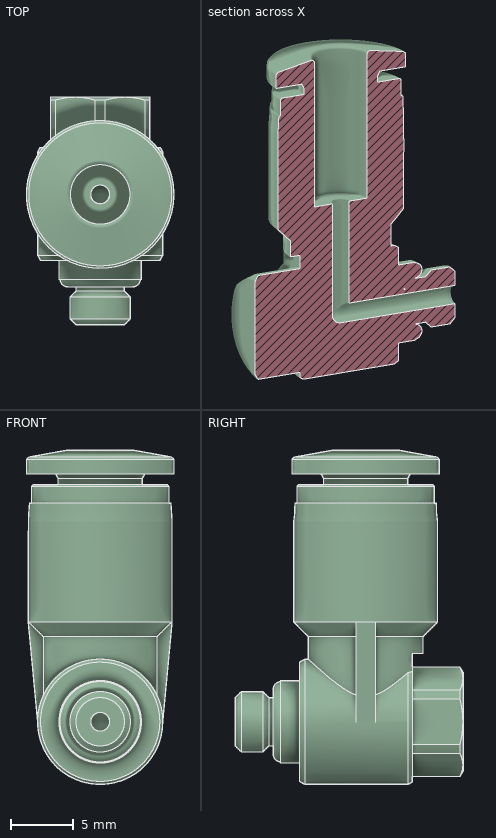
import cadquery as cq
import math


body_radius = 10.0 / 2
body_back = 3.75
body_front = -5.29
back_chamfer = (0.35, 0.2)
front_chamfer = (0.43, 0.25)

collar_radius = 6.6 / 2
collar_front = -6.8
neck_radius = 3.87 / 2
seal_section_radius = 0.65
seal_front = -7.4
tip_radius = 4.83 / 2
tip_back = -7.72
tip_front = -10.4
tip_chamfer = (0.48, tip_radius - neck_radius)

hex_flats = 7.95
hex_corner_diameter = 8.75
hex_length = 4.05
hex_chamfer = (0.27, 0.45)

overall_height = 26.7
tower_top = overall_height - body_radius
stem_radius = 4.6
stem_relief_top = 5.45
sleeve_radius = 11.5 / 2
sleeve_bottom = 7.95
sleeve_bevel = sleeve_radius - stem_radius
sleeve_shoulder = 16.0
sleeve_top = 17.45
sleeve_top_radius = 5.65
ring_radius = 11.0 / 2
ring_top = 18.93
ring_chamfer = 0.13
button_neck_radius = 6.75 / 2
button_radius = 11.8 / 2
button_bottom = 19.78
button_flare_height = 0.35
button_flare = 0.2
button_edge = 20.95
button_edge_chamfer = 0.2

tube_radius = 4.75 / 2
tube_floor = 9.35
tube_mouth_round = 0.3
flow_radius = 1.5 / 2

rib_width = 1.55


def revolve_about_y(points):
    """Revolve a closed (radius, y) outline about the Y axis."""
    return cq.Workplane("XY").polyline(points).close().revolve(360, (0, 0), (0, 1))


def chamfered_cylinder(radius, back, front, at_back, at_front):
    """Cylinder along Y with an (axial, radial) chamfer at each end."""
    return revolve_about_y([
        (0, back),
        (radius - at_back[1], back),
        (radius, back - at_back[0]),
        (radius, front + at_front[0]),
        (radius - at_front[1], front),
        (0, front),
    ])


def cylinder_along_y(radius, back, front):
    return cq.Workplane("XZ", origin=(0, back, 0)).circle(radius).extrude(back - front)


def make_seal_ring():
    """Round seal ring hugging the neck, partly sunk into the collar."""
    return (
        cq.Workplane("XY")
        .center(neck_radius + seal_section_radius, seal_front + seal_section_radius)
        .circle(seal_section_radius)
        .revolve(360, (-neck_radius - seal_section_radius, 0), (-neck_radius - seal_section_radius, 1))
    )


def make_banjo():
    body = chamfered_cylinder(body_radius, body_back, body_front, back_chamfer, front_chamfer)
    collar = cylinder_along_y(collar_radius, 0, collar_front)
    seal = make_seal_ring()
    neck = cylinder_along_y(neck_radius, 0, tip_front)
    tip = chamfered_cylinder(tip_radius, tip_back, tip_front, tip_chamfer, tip_chamfer)
    return body.union(collar).union(seal).union(neck).union(tip)


def make_hex_head():
    """Hexagon with flats on the X sides, its corners turned down and its end chamfered."""
    back = body_back + hex_length
    across_corners = hex_flats / math.cos(math.pi / 6)
    prism = (
        cq.Workplane("XZ", origin=(0, back, 0))
        .transformed(rotate=(0, 0, 30))
        .polygon(6, across_corners)
        .extrude(hex_length)
    )
    radius = hex_corner_diameter / 2
    turned = revolve_about_y([
        (0, back),
        (radius - hex_chamfer[1], back),
        (radius, back - hex_chamfer[0]),
        (radius, body_back),
        (0, body_back),
    ])
    return prism.intersect(turned)


def make_stem():
    """Stem whose back is cut flush with the body below the relief height."""
    stem = cq.Workplane("XY").circle(stem_radius).extrude(sleeve_bottom)
    relief = (
        cq.Workplane("XY")
        .box(2 * stem_radius, stem_radius, stem_relief_top, centered=(True, False, False))
        .translate((0, body_back, 0))
    )
    return stem.cut(relief)


def make_sleeve_and_button():
    outline = [
        (0, sleeve_bottom - sleeve_bevel),
        (stem_radius, sleeve_bottom - sleeve_bevel),
        (sleeve_radius, sleeve_bottom),
        (sleeve_radius, sleeve_shoulder),
        (sleeve_top_radius, sleeve_top),
        (ring_radius, sleeve_top),
        (ring_radius, ring_top - ring_chamfer),
        (ring_radius - ring_chamfer, ring_top),
        (button_neck_radius, ring_top),
        (button_neck_radius, button_bottom - button_flare_height),
        (button_neck_radius + button_flare, button_bottom),
        (button_radius, button_bottom),
        (button_radius, button_edge),
        (button_radius - button_edge_chamfer, button_edge + button_edge_chamfer),
        (tube_radius + tube_mouth_round, tower_top),
        (0, tower_top),
    ]
    return cq.Workplane("XZ").polyline(outline).close().revolve(360, (0, 0), (0, 1))


def make_ribs():
    """Pair of side ribs tapering from the sleeve down to the body's widest point."""
    outline = [
        (-body_radius, 0),
        (body_radius, 0),
        (sleeve_radius, sleeve_bottom),
        (-sleeve_radius, sleeve_bottom),
    ]
    return cq.Workplane("XZ").polyline(outline).close().extrude(rib_width / 2, both=True)


def make_tube_socket():
    """Blind tube bore with a rounded mouth."""
    mouth_radius = tube_radius + tube_mouth_round
    round_bottom = tower_top - tube_mouth_round
    mid_offset = tube_mouth_round * (1 - math.sqrt(0.5))
    return (
        cq.Workplane("XZ")
        .moveTo(0, tube_floor)
        .lineTo(tube_radius, tube_floor)
        .lineTo(tube_radius, round_bottom)
        .threePointArc((tube_radius + mid_offset, tower_top - mid_offset), (mouth_radius, tower_top))
        .lineTo(0, tower_top)
        .close()
        .revolve(360, (0, 0), (0, 1))
    )


def make_flow_passage():
    """Vertical and horizontal bores that meet in a rounded elbow at the origin."""
    vertical = cq.Workplane("XY").circle(flow_radius).extrude(tube_floor)
    horizontal = cylinder_along_y(flow_radius, 0, tip_front)
    elbow = cq.Workplane("XY").sphere(flow_radius)
    return vertical.union(horizontal).union(elbow)


solid = make_banjo()
for feature in (make_hex_head(), make_stem(), make_sleeve_and_button(), make_ribs()):
    solid = solid.union(feature)

result = solid.cut(make_tube_socket()).cut(make_flow_passage())